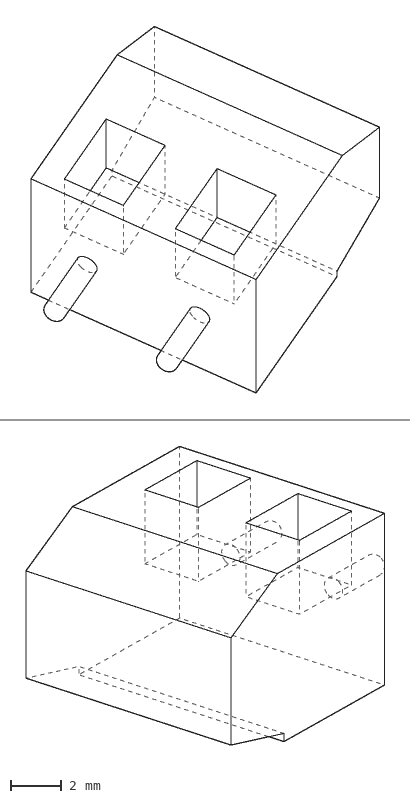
import cadquery as cq


total_depth = 12.9
housing_width = 10.17
housing_height = 7.5
pin_length = 2.9
housing_depth = total_depth - pin_length

top_slope_depth = 3.02
top_slope_drop = 1.66
bottom_slope_depth = 3.45
bottom_step_height = 0.36
bottom_slope_top = 1.15

pocket_width = 2.66
pocket_length = 3.38
pocket_depth = 3.22
pocket_pitch = 5.0
pocket_row_shift = -0.09
pocket_front_wall = 0.63

pin_diameter = 0.9
pin_tip_radius = 0.26
pin_pitch = 5.08
pin_height = 3.5

sides = (-1, 1)


def make_housing():
    """Extruded side profile with one blind pocket per pole."""
    slope_step_y = housing_depth - bottom_slope_depth
    housing = (
        cq.Workplane("YZ")
        .moveTo(0, 0)
        .lineTo(slope_step_y, 0)
        .lineTo(slope_step_y, bottom_step_height)
        .lineTo(housing_depth, bottom_slope_top)
        .lineTo(housing_depth, housing_height - top_slope_drop)
        .lineTo(housing_depth - top_slope_depth, housing_height)
        .lineTo(0, housing_height)
        .close()
        .extrude(housing_width / 2, both=True)
    )
    for side in sides:
        housing = housing.cut(make_pocket(pocket_row_shift + side * pocket_pitch / 2))
    return housing


def make_pocket(center_x):
    """Volume removed by one pocket, open at the top face."""
    return (
        cq.Workplane("XY")
        .box(pocket_width, pocket_length, pocket_depth)
        .translate((
            center_x,
            pocket_front_wall + pocket_length / 2,
            housing_height - pocket_depth / 2,
        ))
    )


def make_pin(center_x):
    """Round pin standing on the -Y face, with a rounded free end."""
    return (
        cq.Workplane("XZ")
        .center(center_x, pin_height)
        .circle(pin_diameter / 2)
        .extrude(pin_length)
        .faces("<Y")
        .edges()
        .fillet(pin_tip_radius)
    )


housing = make_housing()
pins = [make_pin(side * pin_pitch / 2) for side in sides]

result = cq.Compound.makeCompound([housing.solids().val(), *[pin.solids().val() for pin in pins]])